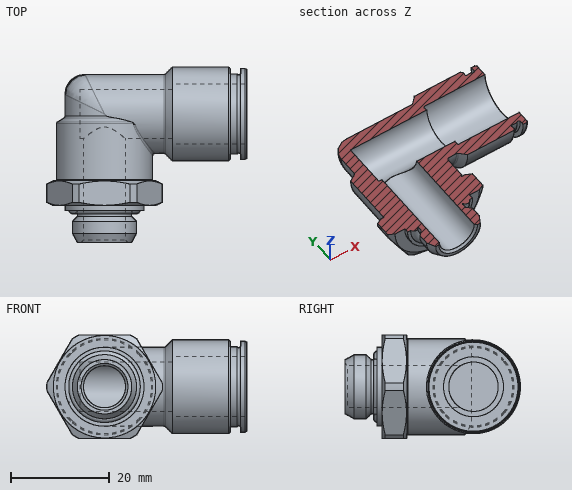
import cadquery as cq
import math

BORE_DIA = 8.5
CROSS_BORE_DIA = 10.0
SOCKET_DIA = 12.15

PIPE_R = 16.0 / 2
ELBOW_FILLET = PIPE_R / 2
HEAD_R = 19.0 / 2
COLLAR_R = 16.25 / 2
RING_R = 18.5 / 2
HEAD_CONE_END = 13.7
CONE_BLEND_R = 0.5
HEAD_END = 25.45
HEAD_CHAMFER = 0.35
GROOVE_START = 26.8
GROOVE_MID = 27.15
GROOVE_MID_R = 7.95
RING_START = 27.5
RING_INNER_R = 8.2
RING_END = 28.75
RING_CHAMFER_X = 0.4
RING_CHAMFER_R = 0.25

SHOULDER_TOP = -0.65
SHOULDER_BOTTOM = -1.75
SHOULDER_ROUND = 0.4
BODY_R = 19.5 / 2
BODY_CHAMFER = 0.25
SADDLE_FILLET = 0.4
NUT_TOP = -13.47
NUT_THICKNESS = 5.05
NUT_FLATS = 21.0
NUT_CORNER_DIA = 23.4
NUT_FACE_R = 10.35
NUT_CHAMFER = 0.7
FLANGE_R = 16.0 / 2
FLANGE_THICKNESS = 1.0
SEAL_R = 7.25
SEAL_DEPTH = 0.65
NECK_R = 11.0 / 2
THREAD_R = 13.0 / 2
THREAD_CONE = 1.0
THREAD_LENGTH = 2.43
TIP_LENGTH = 1.85
TIP_R = 11.0 / 2
BORE_CHAMFER = 0.5
STEM_END = HEAD_R - 35.5


def y_cylinder(radius, start, end):
    """Cylinder about the Y axis from Y=start up to Y=end."""
    return cq.Workplane("XZ", origin=(0, end, 0)).circle(radius).extrude(end - start)


def x_cylinder(radius, start, end):
    """Cylinder about the X axis from X=start up to X=end."""
    return cq.Workplane("YZ", origin=(start, 0, 0)).circle(radius).extrude(end - start)


def elbow():
    """Two pipes of equal radius meeting at a corner, the outer mitre edge rounded."""
    arm_x = x_cylinder(PIPE_R, 0, HEAD_CONE_END - HEAD_R)
    arm_y = y_cylinder(PIPE_R, SHOULDER_BOTTOM, 0)
    corner = x_cylinder(PIPE_R, -PIPE_R, 0).intersect(y_cylinder(PIPE_R, 0, PIPE_R))
    mitre_edges = cq.selectors.BoxSelector(
        (-PIPE_R, 0.05, -PIPE_R),
        (-0.05, PIPE_R, PIPE_R),
    )
    rounded_corner = corner.edges("%ELLIPSE").edges(mitre_edges).fillet(ELBOW_FILLET)
    return rounded_corner.union(arm_x).union(arm_y)


def head():
    """Push-in head with its collar and release ring, turned about X."""
    blend = math.radians(45)
    cone_start = HEAD_CONE_END - (HEAD_R - PIPE_R)
    tangent = CONE_BLEND_R * math.tan(blend / 2)
    profile = (
        cq.Workplane("XY")
        .moveTo(0, 0)
        .lineTo(0, PIPE_R)
        .lineTo(cone_start - tangent, PIPE_R)
        .tangentArcPoint(
            (cone_start + tangent * math.cos(blend), PIPE_R + tangent * math.sin(blend)), relative=False
        )
        .lineTo(HEAD_CONE_END, HEAD_R)
        .lineTo(HEAD_END - HEAD_CHAMFER, HEAD_R)
        .lineTo(HEAD_END, HEAD_R - HEAD_CHAMFER)
        .lineTo(HEAD_END, COLLAR_R)
        .lineTo(GROOVE_START, COLLAR_R)
        .threePointArc((GROOVE_MID, GROOVE_MID_R), (RING_START, RING_INNER_R))
        .lineTo(RING_START, RING_R)
        .lineTo(RING_END - RING_CHAMFER_X, RING_R)
        .lineTo(RING_END, RING_R - RING_CHAMFER_R)
        .lineTo(RING_END, 0)
        .close()
    )
    return profile.revolve(360, (0, 0, 0), (1, 0, 0))


def body_and_stem():
    """Swivel body, flange, seal and threaded stem, turned about Y."""
    flange_bottom = NUT_TOP - NUT_THICKNESS - FLANGE_THICKNESS
    seal_mid_r = (SEAL_R + NECK_R) / 2
    shoulder_angle = math.atan2(BODY_R - PIPE_R, SHOULDER_TOP - SHOULDER_BOTTOM)
    tangent = SHOULDER_ROUND * math.tan(shoulder_angle / 2)
    tangent_r = tangent * math.sin(shoulder_angle)
    foot_mid_r = SHOULDER_ROUND * (1 - math.cos(shoulder_angle / 2))
    foot_mid_y = SHOULDER_ROUND * math.sin(shoulder_angle / 2)
    tangent_y = tangent * math.cos(shoulder_angle)
    thread_bottom = STEM_END + TIP_LENGTH
    thread_top = thread_bottom + THREAD_LENGTH
    profile = (
        cq.Workplane("XY")
        .moveTo(0, SHOULDER_TOP + tangent)
        .lineTo(PIPE_R, SHOULDER_TOP + tangent)
        .threePointArc(
            (PIPE_R + foot_mid_r, SHOULDER_TOP + tangent - foot_mid_y),
            (PIPE_R + tangent_r, SHOULDER_TOP - tangent_y),
        )
        .lineTo(BODY_R - tangent_r, SHOULDER_BOTTOM + tangent_y)
        .tangentArcPoint((BODY_R, SHOULDER_BOTTOM - tangent), relative=False)
        .lineTo(BODY_R, NUT_TOP + BODY_CHAMFER)
        .lineTo(BODY_R - BODY_CHAMFER, NUT_TOP)
        .lineTo(FLANGE_R, NUT_TOP)
        .lineTo(FLANGE_R, flange_bottom)
        .lineTo(SEAL_R, flange_bottom)
        .threePointArc((seal_mid_r, flange_bottom - SEAL_DEPTH), (NECK_R, flange_bottom))
        .lineTo(NECK_R, thread_top + THREAD_CONE)
        .lineTo(THREAD_R, thread_top)
        .lineTo(THREAD_R, thread_bottom)
        .lineTo(TIP_R, STEM_END)
        .lineTo(0, STEM_END)
        .close()
    )
    return profile.revolve(360, (0, 0, 0), (0, 1, 0))


def saddle_blend():
    """Pipe and swivel body barrel with the curve where they meet filleted."""
    barrel = y_cylinder(BODY_R, NUT_TOP + BODY_CHAMFER, SHOULDER_BOTTOM - SHOULDER_ROUND)
    joined = x_cylinder(PIPE_R, 0, HEAD_CONE_END - HEAD_R + PIPE_R - CONE_BLEND_R).union(barrel)
    saddle_curve = joined.edges("%BSPLINE")
    return saddle_curve.fillet(SADDLE_FILLET)


def nut():
    """Hexagon with flats facing Z, its corners turned down and chamfered."""
    bottom = NUT_TOP - NUT_THICKNESS
    corner_r = NUT_CORNER_DIA / 2
    hexagon = (
        cq.Workplane("XZ", origin=(0, NUT_TOP, 0))
        .polygon(6, NUT_FLATS / math.cos(math.pi / 6))
        .extrude(NUT_THICKNESS)
    )
    envelope = (
        cq.Workplane("XY")
        .moveTo(0, NUT_TOP)
        .lineTo(NUT_FACE_R, NUT_TOP)
        .lineTo(corner_r, NUT_TOP - NUT_CHAMFER)
        .lineTo(corner_r, bottom + NUT_CHAMFER)
        .lineTo(NUT_FACE_R, bottom)
        .lineTo(0, bottom)
        .close()
        .revolve(360, (0, 0, 0), (0, 1, 0))
    )
    return hexagon.intersect(envelope)


def passages():
    """Stem bore, cross bore and tube socket."""
    bore_r = BORE_DIA / 2
    cross_r = CROSS_BORE_DIA / 2
    stem_bore = y_cylinder(bore_r, STEM_END, 0)
    lead_in = cq.Workplane(
        cq.Solid.makeCone(
            bore_r + BORE_CHAMFER, bore_r, BORE_CHAMFER, pnt=cq.Vector(0, STEM_END, 0), dir=cq.Vector(0, 1, 0)
        )
    )
    cross_bore = x_cylinder(cross_r, -cross_r, RING_END)
    socket = x_cylinder(SOCKET_DIA / 2, HEAD_CONE_END, RING_END)
    return stem_bore.union(lead_in).union(cross_bore).union(socket)


fitting = elbow().union(head()).union(body_and_stem())
fitting = fitting.union(saddle_blend()).union(nut())
result = fitting.cut(passages())